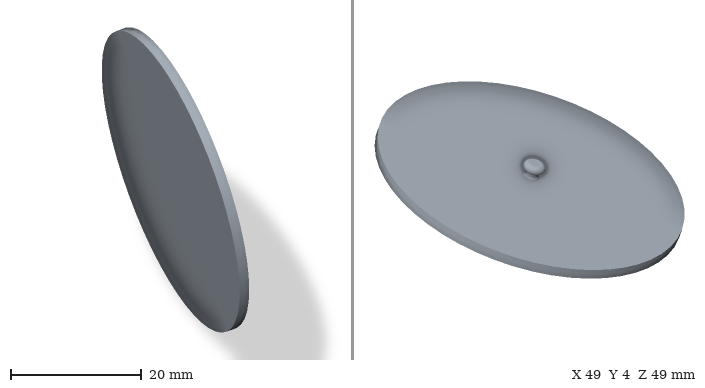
import cadquery as cq

disc_diameter = 49.0
disc_thickness = 1.6

total_depth = 4.0
neck_radius = 1.9 / 2
foot_radius = 2.55 / 2
foot_height = 0.3
head_radius = 3.45 / 2
head_height = 1.45

foot_top = disc_thickness + foot_height
head_top = total_depth
head_bottom = head_top - head_height
head_middle = (head_bottom + head_top) / 2


def make_disc():
    """Round plate standing upright, with its axis along Y."""
    return cq.Workplane("XZ").circle(disc_diameter / 2).extrude(-disc_thickness)


def make_knob():
    """Turned knob: conical foot, straight neck and a head with a rounded rim."""
    return (
        cq.Workplane("XY")
        .moveTo(0, disc_thickness)
        .lineTo(foot_radius, disc_thickness)
        .lineTo(neck_radius, foot_top)
        .lineTo(neck_radius, head_bottom)
        .threePointArc((head_radius, head_middle), (neck_radius, head_top))
        .lineTo(0, head_top)
        .close()
        .revolve(360, (0, 0, 0), (0, 1, 0))
    )


result = make_disc().union(make_knob())